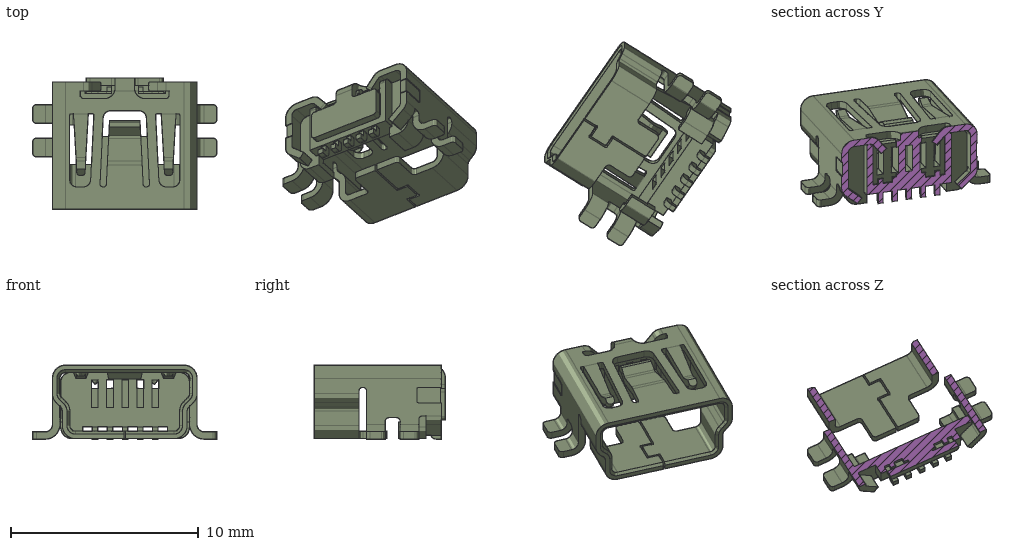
import math

import cadquery as cq

SHEET = 0.4
INNER_BEND = 0.3
MID_BEND = INNER_BEND + SHEET / 2
CUT_RADIUS = 0.2
FAR = 19.6
LAP = 0.1
NEAR = 0.01
HALF_WIDTH = 3.85
LOWER_HALF_WIDTH = 3.32
TOP = 3.95
FLOOR = 0.03
SHELL_LENGTH = 6.78
MOUTH_LENGTH = 2.4
MOUTH_CHAMFER = 0.16
MOUTH_CHAMFER_DEPTH = 0.1
SHOULDER_TOP = 2.23
CEILING = TOP - SHEET
TOP_MID = TOP - SHEET / 2
INNER_HALF_WIDTH = HALF_WIDTH - SHEET
WALL_MID = HALF_WIDTH - SHEET / 2
FLOOR_TONGUE_HALF_WIDTH = 1.4
FLOOR_TONGUE_END = 3.88
SEAM_GAP = 0.1
SEAM_JOG_X = -0.66
SEAM_JOG_START = 0.77
SEAM_JOG_END = 1.8
LEG_SPAN = 9.8
LEG_WIDTH = 1.0
FRONT_LEG_START = 2.79
REAR_LEG_START = 4.58
LEG_BEND = 0.58
LEG_BEND_TOP = LEG_BEND + SHEET / 2
SLOT_TOP = 2.75
SLOT_RADIUS = 0.19
LEG_GAP_TOP = 1.15
REAR_EDGE_HEIGHT = 1.24
RECESS_START = 5.47
RECESS_END = 6.74
RECESS_BOTTOM = 1.94
RECESS_TOP = 2.75
RECESS_DEPTH = 0.05
RECESS_RADIUS = 0.1
FLAP_ANGLE = math.radians(50)
FLAP_BEND = 0.4
FLAP_TIP_RADIUS = 0.1
TOP_FLAP_START = 6.29
TOP_FLAP_X = 2.205
TOP_FLAP_STRAIGHT = 0.735
SIDE_FLAP_START = 5.97
SIDE_FLAP_STRAIGHT = 0.89
REAR_WINDOW_HALF_WIDTH = 2.36
REAR_WINDOW_START = 5.89
NECK_HALF_WIDTH = 0.51
NECK_FLARE = 0.6
BACK = 7.0
BACK_PLATE_HALF_WIDTH = 2.06
BACK_PLATE_TOP = 2.71
BACK_PLATE_BOTTOM = 1.02
LEAF_X = 2.33
LEAF_ROOT_Y = 5.09
LEAF_DIP_AND_CREST = [(2.64, 3.43), (2.16, 3.675)]
LEAF_TIP = (1.9, 3.53)
LEAF_ROOT_WIDTH = 0.79
LEAF_TIP_WIDTH = 0.39
LEAF_TIP_RADIUS = 0.19
LEAF_BEND = 0.52
LEAF_WINDOW_OUTER = 2.93
LEAF_WINDOW_INNER_REAR = 1.65
LEAF_WINDOW_INNER_FRONT = 1.83
WINDOW_FRONT = 1.2
WINDOW_CORNER = 0.39
LEAF_WINDOW_REAR_RADIUS = 0.08
LATCH_WINDOW_END = 5.24
LATCH_WINDOW_REAR_HALF = 1.13
LATCH_WINDOW_FRONT_HALF = 1.32
LATCH_FRONT_HALF = 0.99
LATCH_TIP_HALF = 0.81
LATCH_TIP_Y = 4.74
LATCH_ROOT_Y = 1.96
LATCH_BEND_Y = 2.45
LATCH_DIP_AND_CREST = [(3.88, 3.37), (4.41, 3.67)]
LATCH_TIP_MID = 3.56
LATCH_FIRST_BEND = 0.66
LATCH_SECOND_BEND = 0.41
LATCH_TIP_CHAMFER = 0.1
LATCH_SLOT_RADIUS = 0.16
HOUSING_FRONT = 5.5
INSULATOR_SHIFT = 0.02
HOUSING_TOP_CORNER = 0.5
HOUSING_BOTTOM_CORNER = 0.62
HOUSING_STEP = SIDE_FLAP_START
HOUSING_REAR = BACK - SHEET
HOUSING_REAR_HALF_WIDTH = 2.41
TUNNEL_HALF_WIDTH = 2.25
TUNNEL_TOP = 0.66
WING_FRONT = 4.49
WING_TOP = 0.93
PITCH = 0.8
CONTACT_POSITIONS = [PITCH * index for index in range(-2, 3)]
CAVITY_WIDTH = 0.35
CAVITY_BOTTOM = 1.7
CAVITY_TOP = 3.17
POCKET_INNER = 0.73
POCKET_OUTER = 2.14
POCKET_FRONT = 6.27
POCKET_FLOOR = 1.2
POCKET_CHAMFER = 0.11
CONTACT_WIDTH = 0.3
CONTACT_THICKNESS = 0.3
CONTACT_MID_Y = 6.35
CONTACT_BEND = 0.16
CONTACT_TOP = 1.47


def box(x0, x1, y0, y1, z0, z1):
    return cq.Workplane("XY").box(x1 - x0, y1 - y0, z1 - z0, centered=False).translate((x0, y0, z0))


def mirrored(body):
    return body.union(body.mirror("YZ")).clean()


def shifted(point, direction, distance):
    return point[0] + direction[0] * distance, point[1] + direction[1] * distance


def unit(u, v):
    length = math.hypot(u, v)
    return u / length, v / length


def bent_side(points, bends, offset):
    """Corners of one side of a strip: a (start, middle, end) arc per bend, one point if sharp."""
    headings = [unit(u1 - u0, v1 - v0) for (u0, v0), (u1, v1) in zip(points, points[1:])]
    normals = [(-v, u) for u, v in headings]
    corners = [[shifted(points[0], normals[0], offset)]]
    for i, (corner, bend) in enumerate(zip(points[1:], bends)):
        a, b = headings[i], headings[i + 1]
        turn = math.atan2(a[0] * b[1] - a[1] * b[0], a[0] * b[0] + a[1] * b[1])
        middle_normal = unit(normals[i][0] + normals[i + 1][0], normals[i][1] + normals[i + 1][1])
        if bend == 0:
            corners.append([shifted(corner, middle_normal, offset / math.cos(turn / 2))])
            continue
        tangent = bend * math.tan(abs(turn) / 2)
        radius = math.copysign(bend, turn)
        start = shifted(corner, a, -tangent)
        end = shifted(corner, b, tangent)
        middle = shifted(shifted(start, normals[i], radius), middle_normal, offset - radius)
        corners.append([shifted(start, normals[i], offset), middle, shifted(end, normals[i + 1], offset)])
    return corners + [[shifted(points[-1], normals[-1], offset)]]


def bent_strip(plane, points, bends, thickness, width):
    """Sheet strip of even thickness along a mid-line with the given bend radii, centred on the plane."""
    left = bent_side(points, bends, thickness / 2)
    right = bent_side(points, bends, -thickness / 2)
    outline = cq.Workplane(plane).moveTo(*left[0][0])
    for corner in left[1:] + [corner[::-1] for corner in reversed(right)]:
        outline = outline.lineTo(*corner[0])
        if len(corner) == 3:
            outline = outline.threePointArc(corner[1], corner[2])
    return outline.close().extrude(width / 2, both=True)


def make_mouth():
    lower_x = LOWER_HALF_WIDTH - SHEET / 2
    floor_z = FLOOR + SHEET / 2
    path = [
        (0, TOP_MID), (WALL_MID, TOP_MID), (WALL_MID, SHOULDER_TOP),
        (lower_x, SHOULDER_TOP - (WALL_MID - lower_x)), (lower_x, floor_z), (0, floor_z),
    ]
    mouth = mirrored(bent_strip("XZ", path, 4 * [MID_BEND], SHEET, MOUTH_LENGTH))
    mouth = mouth.translate((0, MOUTH_LENGTH / 2, 0))
    rim = mouth.faces("<Y").val().innerWires()[0].Edges()
    mouth = mouth.newObject(rim).chamfer(MOUTH_CHAMFER, MOUTH_CHAMFER_DEPTH)
    half = FLOOR_TONGUE_HALF_WIDTH
    tongue = box(-half, half, MOUTH_LENGTH - LAP, FLOOR_TONGUE_END, FLOOR, FLOOR + SHEET)
    mouth = mouth.union(tongue.edges("|Z and >Y").fillet(CUT_RADIUS))
    roots = cq.selectors.BoxSelector(
        (-half - NEAR, MOUTH_LENGTH - NEAR, 0), (half + NEAR, MOUTH_LENGTH + NEAR, FLOOR + SHEET)
    )
    mouth = mouth.edges(roots).edges("|Z").fillet(CUT_RADIUS)
    return mouth.cut(make_seam())


def make_seam():
    path = [
        (0, -LAP), (0, SEAM_JOG_START), (SEAM_JOG_X, SEAM_JOG_START),
        (SEAM_JOG_X, SEAM_JOG_END), (0, SEAM_JOG_END), (0, FLOOR_TONGUE_END + LAP),
    ]
    seam = cq.Workplane("XY")
    for (x0, y0), (x1, y1) in zip(path, path[1:]):
        length = abs(x1 - x0) + abs(y1 - y0) + SEAM_GAP
        turn = 90 if x0 == x1 else 0
        leg = cq.Workplane("XY").center((x0 + x1) / 2, (y0 + y1) / 2).slot2D(length, SEAM_GAP, turn)
        seam = seam.union(leg.extrude(FLOOR + SHEET + LAP))
    return seam


def side_gap(y0, y1, top, radius):
    """Opening through both side walls, rounded at its upper corners."""
    return box(-FAR, FAR, y0, y1, 0, top).edges("|X and >Z").fillet(radius)


def make_channel():
    length = SHELL_LENGTH - MOUTH_LENGTH
    path = [(0, TOP_MID), (WALL_MID, TOP_MID), (WALL_MID, LEG_BEND_TOP)]
    channel = mirrored(bent_strip("XZ", path, [MID_BEND], SHEET, length))
    channel = channel.translate((0, MOUTH_LENGTH + length / 2, 0))
    channel = channel.cut(side_gap(MOUTH_LENGTH, FRONT_LEG_START, SLOT_TOP, SLOT_RADIUS))
    channel = channel.cut(side_gap(FRONT_LEG_START + LEG_WIDTH, REAR_LEG_START, LEG_GAP_TOP, CUT_RADIUS))
    channel = channel.cut(side_gap(REAR_LEG_START + LEG_WIDTH, FAR, REAR_EDGE_HEIGHT, CUT_RADIUS))
    recess = box(HALF_WIDTH - RECESS_DEPTH, FAR, RECESS_START, FAR, RECESS_BOTTOM, RECESS_TOP)
    notch = box(INNER_HALF_WIDTH, FAR, RECESS_END, FAR, RECESS_BOTTOM, RECESS_TOP)
    return channel.cut(mirrored(recess.edges("|X and <Y").fillet(RECESS_RADIUS).union(notch)))


def make_leg(start):
    path = [(WALL_MID, LEG_BEND_TOP + LAP), (WALL_MID, SHEET / 2), (LEG_SPAN / 2, SHEET / 2)]
    leg = bent_strip("XZ", path, [LEG_BEND], SHEET, LEG_WIDTH).edges("|Z and >X").fillet(CUT_RADIUS)
    return mirrored(leg.translate((0, start + LEG_WIDTH / 2, 0)))


def make_top_flap():
    tangent = FLAP_BEND * math.tan(FLAP_ANGLE / 2)
    corner = TOP_FLAP_X - tangent
    reach = TOP_FLAP_STRAIGHT + tangent
    tip = (corner - reach * math.cos(FLAP_ANGLE), TOP_MID - reach * math.sin(FLAP_ANGLE))
    length = SHELL_LENGTH - TOP_FLAP_START
    path = [(TOP_FLAP_X + LAP, TOP_MID), (corner, TOP_MID), tip]
    flap = bent_strip("XZ", path, [FLAP_BEND], SHEET, length)
    flap = flap.faces("<X").edges("not |Y").fillet(FLAP_TIP_RADIUS)
    return mirrored(flap.translate((0, TOP_FLAP_START + length / 2, 0)))


def make_side_flap():
    tangent = FLAP_BEND * math.tan(FLAP_ANGLE / 2)
    corner = REAR_EDGE_HEIGHT - tangent
    reach = SIDE_FLAP_STRAIGHT + tangent
    tip = (WALL_MID - reach * math.sin(FLAP_ANGLE), corner - reach * math.cos(FLAP_ANGLE))
    length = SHELL_LENGTH - SIDE_FLAP_START
    path = [(WALL_MID, REAR_EDGE_HEIGHT + LAP), (WALL_MID, corner), tip]
    flap = bent_strip("XZ", path, [FLAP_BEND], SHEET, length)
    return mirrored(flap.translate((0, SIDE_FLAP_START + length / 2, 0)))


def make_rear_window():
    half = REAR_WINDOW_HALF_WIDTH
    wide = box(-half, half, REAR_WINDOW_START, TOP_FLAP_START, CEILING - LAP, FAR)
    open_end = box(-TOP_FLAP_X, TOP_FLAP_X, TOP_FLAP_START - LAP, FAR, CEILING - LAP, FAR)
    return wide.edges("|Z and <Y").fillet(CUT_RADIUS).union(open_end)


def make_back_plate():
    mid_y = BACK - SHEET / 2
    path = [(REAR_WINDOW_START - LAP, TOP_MID), (mid_y, TOP_MID), (mid_y, BACK_PLATE_BOTTOM)]
    strip = bent_strip("YZ", path, [MID_BEND], SHEET, FAR)
    flare_x = NECK_HALF_WIDTH + NECK_FLARE
    flare_y = REAR_WINDOW_START + NECK_FLARE
    flare = NECK_FLARE * math.sqrt(0.5)
    plan = (
        cq.Workplane("XY").moveTo(0, REAR_WINDOW_START - LAP).lineTo(flare_x, REAR_WINDOW_START - LAP)
        .lineTo(flare_x, REAR_WINDOW_START)
        .threePointArc((flare_x - flare, flare_y - flare), (NECK_HALF_WIDTH, flare_y))
        .lineTo(NECK_HALF_WIDTH, BACK).lineTo(0, BACK).close().extrude(FAR)
    )
    half = BACK_PLATE_HALF_WIDTH
    plate = box(-half, half, BACK - SHEET, BACK, BACK_PLATE_BOTTOM, BACK_PLATE_TOP)
    body = strip.intersect(mirrored(plan)).union(plate.edges("|Y").fillet(CUT_RADIUS))
    neck = cq.selectors.BoxSelector(
        (-NECK_HALF_WIDTH - NEAR, 0, BACK_PLATE_TOP - NEAR),
        (NECK_HALF_WIDTH + NEAR, FAR, BACK_PLATE_TOP + NEAR),
    )
    return body.edges(neck).edges("|Y").fillet(CUT_RADIUS)


def make_leaf_window():
    outline = [
        (LEAF_WINDOW_OUTER, WINDOW_FRONT), (LEAF_WINDOW_OUTER, LEAF_ROOT_Y),
        (LEAF_WINDOW_INNER_REAR, LEAF_ROOT_Y), (LEAF_WINDOW_INNER_FRONT, WINDOW_FRONT),
    ]
    window = cq.Workplane("XY").workplane(offset=CEILING - LAP).polyline(outline).close().extrude(FAR)
    window = window.edges("|Z and <Y").fillet(WINDOW_CORNER)
    window = window.edges("|Z and >Y").fillet(LEAF_WINDOW_REAR_RADIUS)
    return mirrored(window)


def make_leaf():
    path = [(LEAF_ROOT_Y + LAP, TOP_MID), (LEAF_ROOT_Y, TOP_MID), *LEAF_DIP_AND_CREST, LEAF_TIP]
    strip = bent_strip("YZ", path, [0, LEAF_BEND, 0], SHEET, FAR)
    root = LEAF_ROOT_WIDTH / 2
    tip = LEAF_TIP_WIDTH / 2
    tip_y = LEAF_TIP[0] - SHEET
    half_plan = [
        (0, LEAF_ROOT_Y + LAP), (root, LEAF_ROOT_Y + LAP), (root, LEAF_ROOT_Y), (tip, tip_y), (0, tip_y),
    ]
    plan = mirrored(cq.Workplane("XY").polyline(half_plan).close().extrude(FAR))
    leaf = strip.intersect(plan)
    leaf = leaf.faces("<Y").edges("not |X").fillet(LEAF_TIP_RADIUS)
    return mirrored(leaf.translate((LEAF_X, 0, 0)))


def make_latch_window():
    outer = [
        (-LATCH_WINDOW_FRONT_HALF, WINDOW_FRONT), (-LATCH_WINDOW_REAR_HALF, LATCH_WINDOW_END),
        (LATCH_WINDOW_REAR_HALF, LATCH_WINDOW_END), (LATCH_WINDOW_FRONT_HALF, WINDOW_FRONT),
    ]
    window = cq.Workplane("XY").workplane(offset=CEILING - LAP).polyline(outer).close().extrude(FAR)
    window = window.edges("|Z and >Y").fillet(WINDOW_CORNER)
    window = window.cut(latch_plan().intersect(box(-FAR, FAR, 0, LATCH_ROOT_Y, 0, FAR)))
    return window.edges("|Z and <Y").fillet(LATCH_SLOT_RADIUS)


def latch_plan():
    outline = [
        (-LATCH_FRONT_HALF, WINDOW_FRONT - LAP), (-LATCH_TIP_HALF, LATCH_TIP_Y),
        (LATCH_TIP_HALF, LATCH_TIP_Y), (LATCH_FRONT_HALF, WINDOW_FRONT - LAP),
    ]
    return cq.Workplane("XY").polyline(outline).close().extrude(FAR)


def make_latch():
    tip = (LATCH_TIP_Y + LAP, LATCH_TIP_MID)
    path = [(LATCH_ROOT_Y - LAP, TOP_MID), (LATCH_BEND_Y, TOP_MID), *LATCH_DIP_AND_CREST, tip]
    latch = bent_strip("YZ", path, [LATCH_FIRST_BEND, LATCH_SECOND_BEND, 0], SHEET, FAR)
    latch = latch.intersect(latch_plan())
    return latch.faces(">Y").edges(">Z").chamfer(LATCH_TIP_CHAMFER)


def make_housing():
    half = INNER_HALF_WIDTH - INSULATOR_SHIFT
    front = box(-half, half, HOUSING_FRONT, HOUSING_STEP, FLOOR, CEILING)
    front = front.edges("|Y and >Z").fillet(HOUSING_TOP_CORNER)
    front = front.edges("|Y and <Z").fillet(HOUSING_BOTTOM_CORNER)
    wings = box(-half, half, WING_FRONT, HOUSING_FRONT, FLOOR, WING_TOP)
    wings = wings.edges("|Y and <Z").fillet(HOUSING_BOTTOM_CORNER)
    hollow = box(SHEET - half, half - SHEET, WING_FRONT, HOUSING_FRONT, FLOOR + SHEET, FAR)
    wings = wings.cut(hollow.edges("|Y and <Z").fillet(HOUSING_BOTTOM_CORNER - SHEET))
    rear_half = HOUSING_REAR_HALF_WIDTH
    rear = box(-rear_half, rear_half, HOUSING_STEP, HOUSING_REAR, TUNNEL_TOP, CEILING)
    rear = rear.edges(">Y and >Z").fillet(INNER_BEND)
    housing = front.union(wings).union(rear)
    housing = housing.cut(box(-TUNNEL_HALF_WIDTH, TUNNEL_HALF_WIDTH, 0, FAR, 0, TUNNEL_TOP))
    for x in CONTACT_POSITIONS:
        housing = housing.cut(
            box(x - CAVITY_WIDTH / 2, x + CAVITY_WIDTH / 2, 0, FAR, CAVITY_BOTTOM, CAVITY_TOP)
        )
    return housing.cut(mirrored(make_rear_pocket()))


def make_rear_pocket():
    pocket = box(POCKET_INNER, POCKET_OUTER - POCKET_CHAMFER, POCKET_FRONT, FAR, POCKET_FLOOR, CEILING)
    lead_in = box(
        POCKET_INNER, POCKET_OUTER, POCKET_FRONT - POCKET_CHAMFER, FAR,
        CEILING - POCKET_CHAMFER, CEILING + LAP,
    )
    return pocket.union(lead_in.faces("<Z").edges("<Y or >X").chamfer(POCKET_CHAMFER))


def make_contacts():
    foot_z = CONTACT_THICKNESS / 2
    path = [(CONTACT_MID_Y, CONTACT_TOP), (CONTACT_MID_Y, foot_z), (SHELL_LENGTH, foot_z)]
    contact = bent_strip("YZ", path, [CONTACT_BEND], CONTACT_THICKNESS, CONTACT_WIDTH)
    contacts = cq.Workplane("XY")
    for x in CONTACT_POSITIONS:
        contacts = contacts.union(contact.translate((x, 0, 0)))
    return contacts


shell = make_mouth().union(make_channel())
shell = shell.cut(make_rear_window()).cut(make_leaf_window()).cut(make_latch_window())
shell = shell.union(make_leg(FRONT_LEG_START)).union(make_leg(REAR_LEG_START))
shell = shell.union(make_top_flap()).union(make_side_flap()).union(make_back_plate())
shell = shell.union(make_leaf()).union(make_latch())
insulator = make_housing().union(make_contacts()).translate((INSULATOR_SHIFT, 0, 0))
result = shell.union(insulator)